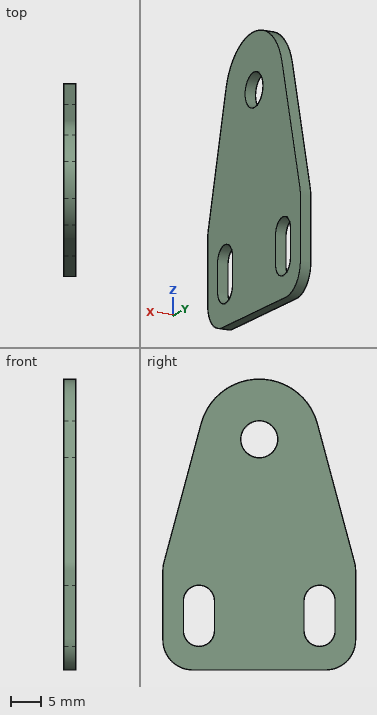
import cadquery as cq
import math

thickness = 2.0
width = 32.0
height = 48.26
top_radius = 10.0
base_corner_radius = 5.0
shoulder_radius = 5.0
side_lean = math.radians(15)

pivot_hole_diameter = 6.1
slot_width = 5.1
slot_length = 10.1
slot_spacing = 20.0
slot_center_z = 9.0

half_width = width / 2
pivot_z = height - top_radius
tangent_y = top_radius * math.cos(side_lean)
tangent_z = pivot_z + top_radius * math.sin(side_lean)
shoulder_z = tangent_z - (half_width - tangent_y) / math.tan(side_lean)


def back_face():
    """Sketch plane on the -X face; extrusions from it run through the thickness."""
    return cq.Workplane("YZ", origin=(-thickness / 2, 0, 0))


def make_plate():
    """Tapered plate with a round top, softened shoulders and rounded base corners."""
    plate = (
        back_face()
        .moveTo(-half_width, 0)
        .lineTo(half_width, 0)
        .lineTo(half_width, shoulder_z)
        .lineTo(tangent_y, tangent_z)
        .threePointArc((0, height), (-tangent_y, tangent_z))
        .lineTo(-half_width, shoulder_z)
        .close()
        .extrude(thickness)
    )
    plate = plate.edges("|X").edges("<Z").fillet(base_corner_radius)

    slab_margin = 1.0
    shoulder_slab = cq.selectors.BoxSelector(
        (-thickness, -width, shoulder_z - slab_margin),
        (thickness, width, shoulder_z + slab_margin),
    )
    return plate.edges("|X").edges(shoulder_slab).fillet(shoulder_radius)


def make_pivot_hole():
    """Cutter for the round hole concentric with the top arc."""
    return back_face().center(0, pivot_z).circle(pivot_hole_diameter / 2).extrude(thickness)


def make_slots():
    """Cutter for the two upright mounting slots."""
    upright = 90
    centers = [(side * slot_spacing / 2, slot_center_z) for side in (-1, 1)]
    return back_face().pushPoints(centers).slot2D(slot_length, slot_width, upright).extrude(thickness)


result = make_plate().cut(make_pivot_hole()).cut(make_slots())